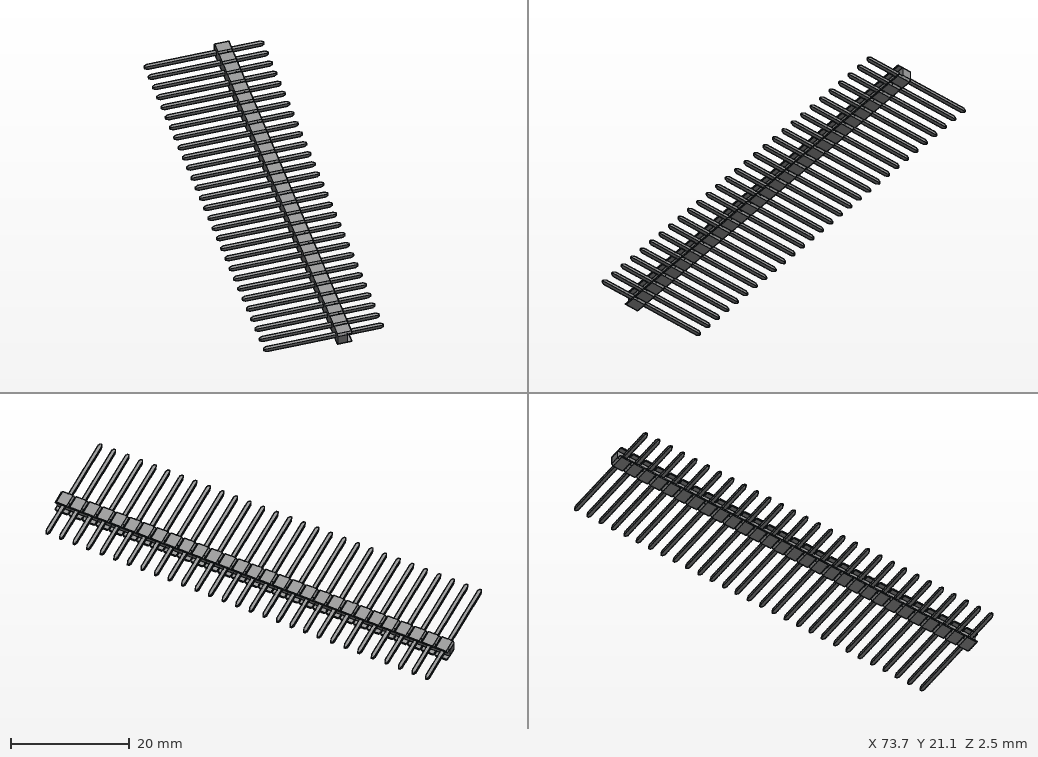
import cadquery as cq


strip_length = 73.65
pin_count = 29
pitch = strip_length / pin_count
housing_height = 2.5
housing_depth = 2.5
chamfer_width = 0.3
chamfer_height = 0.405
channel_depth = 0.8
lip_thickness = 0.33

pin_width = 0.64
front_pin_length = 12.7
back_pin_length = 5.9
pin_offset = -0.095
tip_length = 0.5
tip_width = 0.32

housing_front = -housing_depth / 2
housing_back = housing_depth / 2
shank_front = housing_front - front_pin_length + tip_length
shank_back = housing_back + back_pin_length - tip_length

cell_lefts = [i * pitch - strip_length / 2 for i in range(pin_count)]


def cell_top(left):
    """XZ points along the top of one cell, from left to right."""
    right = left + pitch
    top = housing_height / 2
    shoulder = top - chamfer_height
    return [
        (left, shoulder),
        (left + chamfer_width, top),
        (right - chamfer_width, top),
        (right, shoulder),
    ]


def make_housing():
    """Strip of cells with V notches between them and a channel along the back face."""
    upper = cell_top(cell_lefts[0])
    for left in cell_lefts[1:]:
        upper += cell_top(left)[1:]
    lower = [(x, -z) for x, z in reversed(upper)]
    back_plane = cq.Workplane("XZ", origin=(0, housing_back, 0))
    strip = back_plane.polyline(upper + lower).close().extrude(housing_depth)
    channel_height = housing_height - 2 * lip_thickness
    channel = cq.Workplane("XY").box(strip_length, channel_depth, channel_height)
    return strip.cut(channel.translate((0, housing_back - channel_depth / 2, 0)))


def make_tip(base_y, direction):
    """Blunt pyramid on a pin end; direction is +1 toward +Y and -1 toward -Y."""
    base = cq.Plane(origin=(0, base_y, 0), xDir=(1, 0, 0), normal=(0, direction, 0))
    return (
        cq.Workplane(base)
        .rect(pin_width, pin_width)
        .workplane(offset=tip_length)
        .rect(tip_width, tip_width)
        .loft(ruled=True)
    )


def make_pin():
    """Square pin on X = 0 with a tapered tip at both ends."""
    shank = cq.Workplane("XY").box(pin_width, shank_back - shank_front, pin_width)
    shank = shank.translate((0, (shank_front + shank_back) / 2, 0))
    return shank.union(make_tip(shank_front, -1)).union(make_tip(shank_back, 1))


pin = make_pin().val()
pins = [pin.translate(cq.Vector(left + pitch / 2 + pin_offset, 0, 0)) for left in cell_lefts]
result = cq.Workplane(make_housing().val().fuse(*pins))